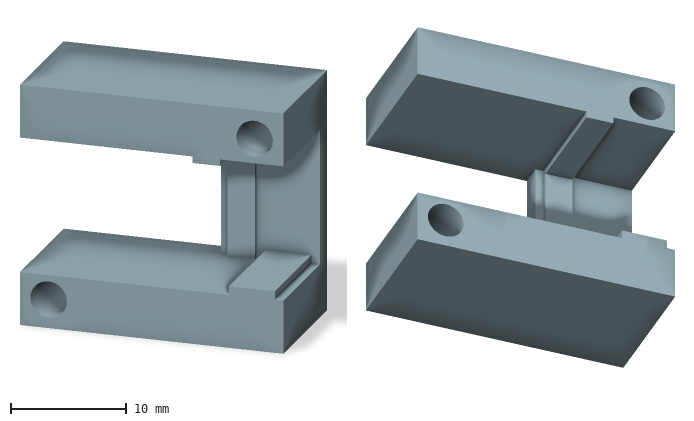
import cadquery as cq

length = 24.0
depth = 12.0
height = 22.0

arm_thickness = 4.85
gap = height - 2 * arm_thickness
gap_top = height - arm_thickness
wall_thickness = 2.0
wall_width = 9.0

upper_rib_width = 2.5
upper_rib_end_offset = 5.75
upper_rib_drop = 0.6
wall_rib_height = 0.5

lower_rib_width = 4.18
lower_rib_end_offset = 0.77
lower_rib_height = 0.8

hole_diameter = 3.3
hole_inset = 2.62


def block(x, y, z, size_x, size_y, size_z):
    """Box placed by its lowest corner."""
    return cq.Workplane("XY").box(size_x, size_y, size_z, centered=False).translate((x, y, z))


def mounting_hole(x, z):
    """Cylinder passing through the full depth."""
    return cq.Workplane("XZ").center(x, z).circle(hole_diameter / 2).extrude(-depth)


wall_front = depth - wall_thickness
body = block(0, 0, 0, length, depth, arm_thickness)
body = body.union(block(0, 0, gap_top, length, depth, arm_thickness))
body = body.union(block(length - wall_width, wall_front, arm_thickness, wall_width, wall_thickness, gap))

upper_rib_x = length - upper_rib_end_offset - upper_rib_width
body = body.union(block(
    upper_rib_x, wall_front - wall_rib_height, arm_thickness, upper_rib_width, wall_rib_height, gap
))
body = body.union(block(
    upper_rib_x, 0, gap_top - upper_rib_drop, upper_rib_width, wall_front, upper_rib_drop
))

lower_rib_x = length - lower_rib_end_offset - lower_rib_width
body = body.union(block(
    lower_rib_x, 0, arm_thickness, lower_rib_width, wall_front, lower_rib_height
))

body = body.cut(mounting_hole(hole_inset, hole_inset))
result = body.cut(mounting_hole(length - hole_inset, height - hole_inset))